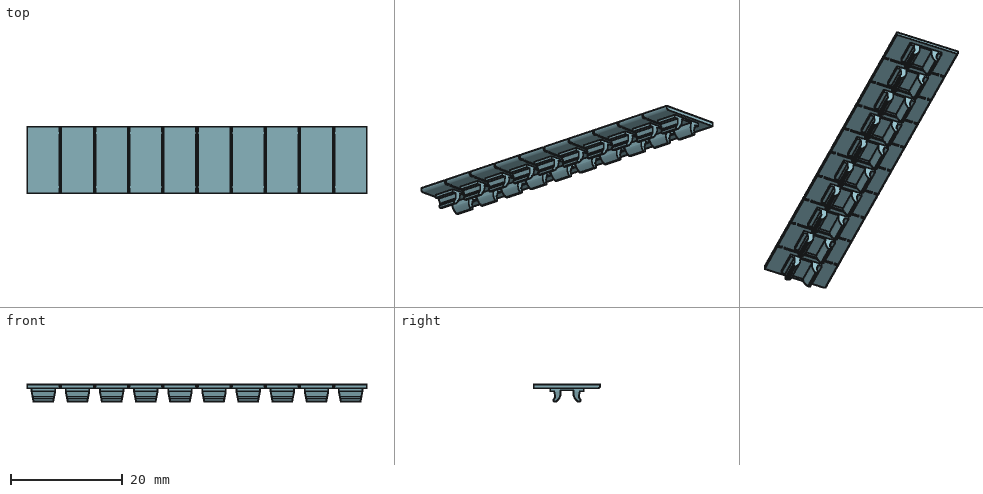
import cadquery as cq

TAG_COUNT = 10
STRIP_LENGTH = 60.7
TAG_LENGTH = 5.8
TAG_PITCH = (STRIP_LENGTH - TAG_LENGTH) / (TAG_COUNT - 1)
TAG_GAP = TAG_PITCH - TAG_LENGTH
TAG_WIDTH = 11.9
TAG_THICKNESS = 0.7
TOTAL_HEIGHT = 3.1

EDGE_RADIUS = 0.5

BRIDGE_WIDTH = 0.55
BRIDGE_THICKNESS = 0.3
BRIDGE_OFFSET_Y = 4.85
BRIDGE_OVERLAP = 0.1

PAD_LENGTH = 4.25
PAD_WIDTH = 6.1
PAD_HEIGHT = 0.55
PAD_BOTTOM = -TAG_THICKNESS - PAD_HEIGHT
RECESS_DEPTH = 0.2

LEG_INNER_Y = 1.15
LEG_OUTER_Y = 2.3
NECK_Y = 2.1
NECK_Z = -2.2
HOOK_START = (2.3, -2.6)
HOOK_TIP = (2.4, -2.8)
HOOK_END_Y = 2.25
TOE_Y = 1.95
INNER_CURVE_START_Z = -1.95
INNER_CURVE_MID = (1.45, -2.6)
LEG_TIP_LENGTH = 3.5
LEG_ROOT_OVERLAP = 0.05


def make_plate():
    plate = cq.Workplane("XY").box(TAG_LENGTH, TAG_WIDTH, TAG_THICKNESS, centered=(True, True, False))
    plate = plate.translate((0, 0, -TAG_THICKNESS))
    return plate.faces("<Z").edges(">Y").fillet(EDGE_RADIUS)


def make_pad():
    pad = cq.Workplane("XY").box(PAD_LENGTH, PAD_WIDTH, PAD_HEIGHT, centered=(True, True, False))
    recess = cq.Workplane("XY").box(
        PAD_LENGTH, 2 * LEG_INNER_Y, RECESS_DEPTH, centered=(True, True, False)
    )
    return pad.cut(recess).translate((0, 0, PAD_BOTTOM))


def make_leg():
    """Hooked leg on the +Y side, narrowing along X towards its tip."""
    root_z = PAD_BOTTOM + LEG_ROOT_OVERLAP
    hook = (
        cq.Workplane("YZ")
        .moveTo(LEG_INNER_Y, root_z)
        .lineTo(LEG_OUTER_Y, root_z)
        .lineTo(LEG_OUTER_Y, PAD_BOTTOM)
        .lineTo(NECK_Y, NECK_Z)
        .lineTo(*HOOK_START)
        .threePointArc(HOOK_TIP, (HOOK_END_Y, -TOTAL_HEIGHT))
        .lineTo(TOE_Y, -TOTAL_HEIGHT)
        .threePointArc(INNER_CURVE_MID, (LEG_INNER_Y, INNER_CURVE_START_Z))
        .close()
        .extrude(PAD_LENGTH / 2, both=True)
    )
    taper = (
        cq.Workplane("XZ")
        .polyline([
            (-PAD_LENGTH / 2, root_z),
            (PAD_LENGTH / 2, root_z),
            (PAD_LENGTH / 2, PAD_BOTTOM),
            (LEG_TIP_LENGTH / 2, -TOTAL_HEIGHT),
            (-LEG_TIP_LENGTH / 2, -TOTAL_HEIGHT),
            (-PAD_LENGTH / 2, PAD_BOTTOM),
        ])
        .close()
        .extrude(TAG_WIDTH / 2, both=True)
    )
    return hook.intersect(taper)


def make_tag():
    leg = make_leg()
    return make_plate().union(make_pad()).union(leg).union(leg.mirror("XZ"))


def make_bridges():
    """Pair of bridges centred on the gap between two tags."""
    return (
        cq.Workplane("XY", origin=(0, 0, -TAG_THICKNESS))
        .pushPoints([(0, -BRIDGE_OFFSET_Y), (0, BRIDGE_OFFSET_Y)])
        .rect(TAG_GAP + 2 * BRIDGE_OVERLAP, BRIDGE_WIDTH)
        .extrude(BRIDGE_THICKNESS)
    )


tag = make_tag()
bridges = make_bridges()
first_tag_x = (TAG_LENGTH - STRIP_LENGTH) / 2

strip = tag.translate((first_tag_x, 0, 0))
for index in range(1, TAG_COUNT):
    tag_x = first_tag_x + index * TAG_PITCH
    strip = strip.union(bridges.translate((tag_x - TAG_PITCH / 2, 0, 0)))
    strip = strip.union(tag.translate((tag_x, 0, 0)))

result = strip